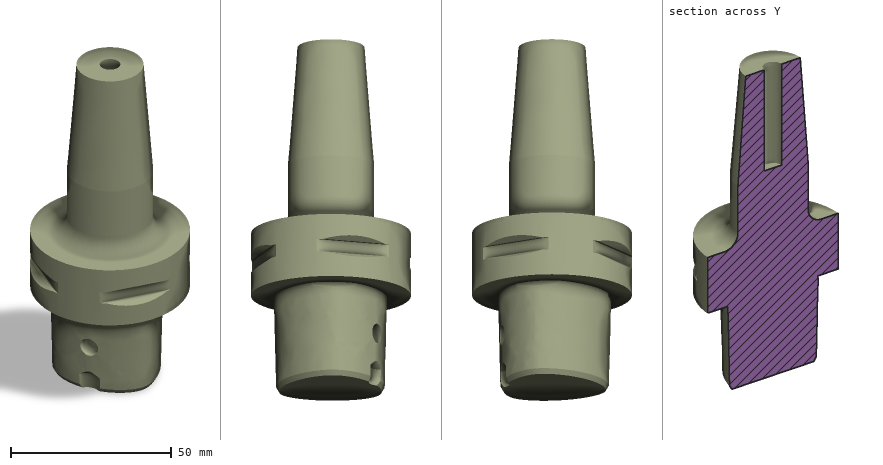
import cadquery as cq
import math


FLANGE_DIA = 50.0
FLANGE_HEIGHT = 20.0

NECK_DIA = 27.0
NECK_FILLET = 5.0
NECK_HEIGHT = 21.8
TIP_DIA = 21.0
NOSE_HEIGHT = 60.0
BORE_DIA = 6.5
BORE_DEPTH = 36.0

GROOVE_COUNT = 4
GROOVE_START_ANGLE = 45.0
GROOVE_Z = FLANGE_HEIGHT / 2
GROOVE_FLOOR = 22.0
GROOVE_STEP = 0.9
GROOVE_WIDTH = 4.0
GROOVE_FLARE_ANGLE = 33.0

SHANK_LENGTH = 30.0
SHANK_DIA = 35.2
ECCENTRICITY = 1.12
COLLAR_HEIGHT = 3.0
TAPER = 1.0 / 20.0
CURVE_POINTS = 72
CHAMFER_HEIGHT = 1.6
CHAMFER_ANGLE = 30.0

RELIEF_RADIUS = 17.7
RELIEF_STRAIGHT = 0.6
RELIEF_ROUND = 0.8
RELIEF_OUTER = SHANK_DIA / 2 + 2 * ECCENTRICITY

FLAT_DISTANCE = SHANK_DIA / 2 - ECCENTRICITY
SIDE_HOLE_DIA = 6.1
SIDE_HOLE_POINT_ANGLE = 118.0
SIDE_HOLE_Z = -14.0
SIDE_HOLE_DEPTH = 5.0
KEYWAY_DIA = 8.3
KEYWAY_POINT_ANGLE = 100.0
KEYWAY_AXIS = FLAT_DISTANCE + 1.4
KEYWAY_TOP = -24.8

CLEARANCE = 2.0


def drill(diameter, depth, point_angle):
    """Drill with a conical point, running from the origin along +Z."""
    radius = diameter / 2
    point = radius / math.tan(math.radians(point_angle / 2))
    outline = (
        cq.Workplane("XZ")
        .lineTo(radius, 0)
        .lineTo(radius, depth)
        .lineTo(0, depth + point)
        .close()
    )
    return outline.revolve(360, (0, 0, 0), (0, 1, 0))


def polygon_wire(width, z):
    """Closed three-lobe curve of constant width with one lobe on +Y."""

    def point(angle):
        toward_flat = width / 2 * math.cos(angle)
        toward_flat += ECCENTRICITY * (math.cos(4 * angle) - 2 * math.cos(2 * angle))
        sideways = width / 2 * math.sin(angle)
        sideways += ECCENTRICITY * (math.sin(4 * angle) + 2 * math.sin(2 * angle))
        return (sideways, -toward_flat, z)

    points = [cq.Vector(*point(2 * math.pi * i / CURVE_POINTS)) for i in range(CURVE_POINTS)]
    edge = cq.Edge.makeSpline(points, periodic=True)
    return cq.Wire.assembleEdges([edge])


def polygon_section(top_width, top_z, bottom_width, bottom_z):
    wires = [polygon_wire(top_width, top_z), polygon_wire(bottom_width, bottom_z)]
    return cq.Workplane(cq.Solid.makeLoft(wires, True))


def make_body():
    neck = NECK_DIA / 2
    flange = FLANGE_DIA / 2
    top = FLANGE_HEIGHT + NOSE_HEIGHT
    fillet_mid = NECK_FILLET * (1 - math.sqrt(0.5))
    outline = (
        cq.Workplane("XZ")
        .lineTo(flange, 0)
        .lineTo(flange, FLANGE_HEIGHT)
        .lineTo(neck + NECK_FILLET, FLANGE_HEIGHT)
        .threePointArc(
            (neck + fillet_mid, FLANGE_HEIGHT + fillet_mid),
            (neck, FLANGE_HEIGHT + NECK_FILLET),
        )
        .lineTo(neck, FLANGE_HEIGHT + NECK_HEIGHT)
        .lineTo(TIP_DIA / 2, top)
        .lineTo(0, top)
        .close()
    )
    body = outline.revolve(360, (0, 0, 0), (0, 1, 0))
    bore = cq.Workplane("XY", origin=(0, 0, top)).circle(BORE_DIA / 2).extrude(-BORE_DEPTH)
    return body.cut(bore)


def make_gripper_groove():
    """Flat-floored groove with flared sides, cut into the +X side of the flange."""
    half = GROOVE_WIDTH / 2
    flare_start = GROOVE_FLOOR + GROOVE_STEP
    outside = FLANGE_DIA / 2 + CLEARANCE
    outer_half = half + (outside - flare_start) * math.tan(math.radians(GROOVE_FLARE_ANGLE))
    return (
        cq.Workplane("XZ", origin=(0, 0, GROOVE_Z))
        .moveTo(GROOVE_FLOOR, -half)
        .lineTo(flare_start, -half)
        .lineTo(outside, -outer_half)
        .lineTo(outside, outer_half)
        .lineTo(flare_start, half)
        .lineTo(GROOVE_FLOOR, half)
        .close()
        .extrude(FLANGE_DIA / 2, both=True)
    )


def make_lobe_relief():
    """Ring that leaves a round stub, opening outward through an arc into a 45 degree cone."""
    def arc_point(angle):
        x = RELIEF_RADIUS + RELIEF_ROUND * (1 - math.cos(angle))
        return (x, -RELIEF_STRAIGHT - RELIEF_ROUND * math.sin(angle))

    cone_angle = math.pi / 4
    arc_end_x, arc_end_z = arc_point(cone_angle)
    cone_bottom = arc_end_z - (RELIEF_OUTER - arc_end_x)
    outline = (
        cq.Workplane("XZ")
        .moveTo(RELIEF_RADIUS, 0)
        .lineTo(RELIEF_RADIUS, -RELIEF_STRAIGHT)
        .threePointArc(arc_point(cone_angle / 2), (arc_end_x, arc_end_z))
        .lineTo(RELIEF_OUTER, cone_bottom)
        .lineTo(RELIEF_OUTER, 0)
        .close()
    )
    return outline.revolve(360, (0, 0, 0), (0, 1, 0))


def make_shank():
    chamfer_z = CHAMFER_HEIGHT - SHANK_LENGTH
    taper_length = SHANK_LENGTH - COLLAR_HEIGHT - CHAMFER_HEIGHT
    low_width = SHANK_DIA - TAPER * taper_length
    end_width = low_width - 2 * CHAMFER_HEIGHT * math.tan(math.radians(CHAMFER_ANGLE))

    collar = polygon_section(SHANK_DIA, 0, SHANK_DIA, -COLLAR_HEIGHT)
    taper = polygon_section(SHANK_DIA, -COLLAR_HEIGHT, low_width, chamfer_z)
    chamfer = polygon_section(low_width, chamfer_z, end_width, -SHANK_LENGTH)
    return collar.cut(make_lobe_relief()).union(taper).union(chamfer)


def make_side_hole():
    cutter = drill(SIDE_HOLE_DIA, SIDE_HOLE_DEPTH + CLEARANCE, SIDE_HOLE_POINT_ANGLE)
    cutter = cutter.rotate((0, 0, 0), (1, 0, 0), -90)
    return cutter.translate((0, -FLAT_DISTANCE - CLEARANCE, SIDE_HOLE_Z))


def make_keyway():
    cutter = drill(KEYWAY_DIA, SHANK_LENGTH + KEYWAY_TOP, KEYWAY_POINT_ANGLE)
    return cutter.translate((0, -KEYWAY_AXIS, -SHANK_LENGTH))


result = make_body().union(make_shank())
for index in range(GROOVE_COUNT):
    groove_angle = GROOVE_START_ANGLE + index * 360 / GROOVE_COUNT
    result = result.cut(make_gripper_groove().rotate((0, 0, 0), (0, 0, 1), groove_angle))
result = result.cut(make_side_hole()).cut(make_keyway())